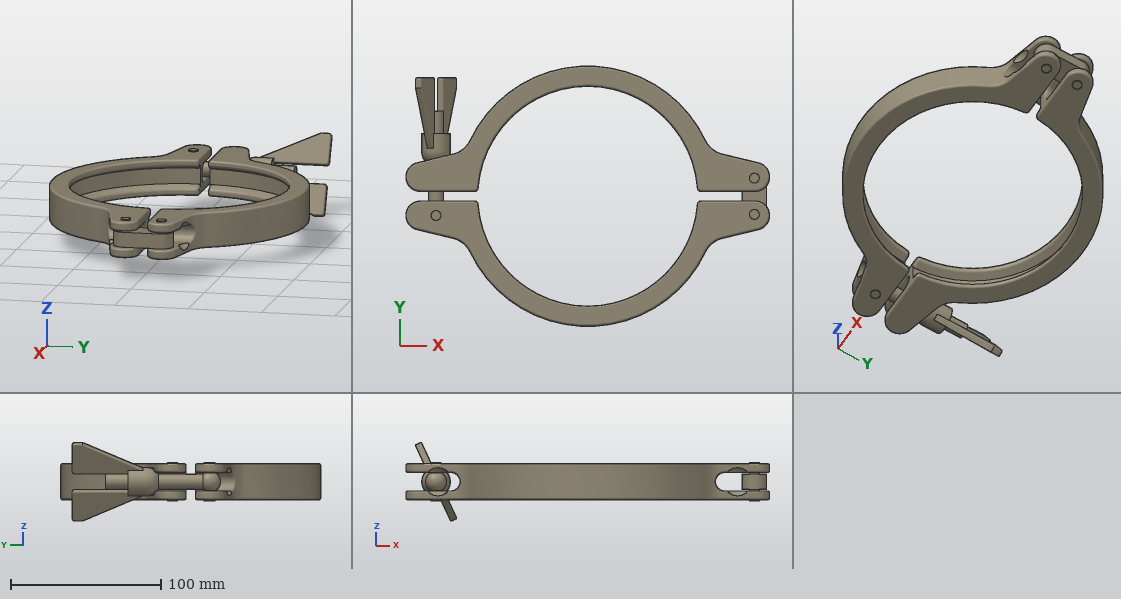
import cadquery as cq
import math


height = 24.2
outer_radius = 86.6
bore_radius = 73.0
split_gap = 6.3
edge_round = 1.5
bore_corner_round = 2.5

groove_depth = 6.3
groove_mouth = 15.5
groove_floor = 10.6
groove_lip_round = 2.0
selection_margin = 0.2

ear_tip_x = 121.0
ear_radius = 9.7
ear_slope = 13.6
ear_blend_radius = 17.0
slot_width = 12.0
slot_end_x = 85.0
slot_end_radius = slot_width / 2
slot_round = 1.5

pin_radius = 3.27
pin_length = 25.7
hinge_x = 110.8
hinge_y = 12.0
link_radius = 8.2
link_thickness = 10.2
bolt_x = -101.0
bolt_pin_y = 12.8
bolt_radius = 5.0
bolt_end_y = 56.6
bolt_ball_radius = 7.0
bolt_ball_thickness = 11.5

nut_radius = 9.55
nut_dome_y = 29.5
nut_end_y = 41.6
seat_radius = 11.0
seat_y = 31.0
wing_tilt = 25.0
wing_thickness = 4.5
wing_inner = 6.5
wing_outer = 28.0
wing_end_y = 79.0
wing_tip_length = 7.0
wing_root_y = 30.0
wing_root_radius = nut_radius * 0.9
wing_corner_round = 2.0
wing_edge_round = 0.7

ear_x = ear_tip_x - ear_radius
ear_y = split_gap / 2 + ear_radius


def ear_outline(side):
    """Ear plate on the +X (side = 1) or -X (side = -1) end of the +Y half ring."""
    slope = math.radians(ear_slope)
    tangent_x = ear_x + ear_radius * math.sin(slope)
    tangent_y = ear_y + ear_radius * math.cos(slope)
    mid_angle = -slope / 2
    root_x = bore_radius
    root_y = tangent_y + (tangent_x - root_x) * math.tan(slope)
    return (
        cq.Workplane("XY", origin=(0, 0, -height / 2))
        .moveTo(side * root_x, split_gap / 2)
        .lineTo(side * ear_x, split_gap / 2)
        .threePointArc(
            (side * (ear_x + ear_radius * math.cos(mid_angle)), ear_y + ear_radius * math.sin(mid_angle)),
            (side * tangent_x, tangent_y),
        )
        .lineTo(side * root_x, root_y)
        .close()
        .extrude(height)
    )


def half_ring_blank():
    """Solid +Y half ring with both ears blended in and the bore cut."""
    half_space = cq.Workplane("XY").box(
        3 * ear_tip_x, 2 * ear_tip_x, 2 * height, centered=(True, False, True)
    ).translate((0, split_gap / 2, 0))
    blank = cq.Workplane("XY").circle(outer_radius).extrude(height / 2, both=True).intersect(half_space)
    for side in (1, -1):
        blank = blank.union(ear_outline(side))
    blend_corners = cq.selectors.BoxSelector(
        (-outer_radius, 2 * ear_radius + split_gap, -height), (outer_radius, outer_radius * 0.6, height)
    )
    blank = blank.edges("|Z").edges(blend_corners).fillet(ear_blend_radius)
    bore = cq.Workplane("XY").circle(bore_radius).extrude(height, both=True)
    return blank.cut(bore)


def flange_groove():
    """Ring-shaped cutter with a trapezoid section, wide at the bore."""
    inside = bore_radius - groove_depth
    mouth_slope = (groove_mouth - groove_floor) / groove_depth
    inside_half = (groove_mouth + mouth_slope * groove_depth) / 2
    floor_radius = bore_radius + groove_depth
    return (
        cq.Workplane("XZ")
        .polyline([
            (inside, -inside_half),
            (floor_radius, -groove_floor / 2),
            (floor_radius, groove_floor / 2),
            (inside, inside_half),
        ])
        .close()
        .revolve(360, (0, 0, 0), (0, 1, 0))
    )


def ear_slot(side):
    """Slot through an ear along Y, with a round inner end."""
    length = 2 * (ear_tip_x - slot_end_x)
    straight = cq.Workplane("XY").box(length, 2 * ear_tip_x, slot_width)
    end_x = slot_end_x + slot_end_radius
    straight = straight.translate((end_x + length / 2, 0, 0))
    round_end = (
        cq.Workplane("XZ").center(end_x, 0).circle(slot_end_radius).extrude(ear_tip_x, both=True)
    )
    slot = straight.union(round_end)
    return slot if side > 0 else slot.mirror("YZ")


def half_ring():
    """Finished +Y half ring."""
    body = half_ring_blank()
    bore_corners = cq.selectors.BoxSelector(
        (-bore_radius, 0, -height), (bore_radius, 2 * split_gap, height)
    )
    body = body.edges("|Z").edges(bore_corners).fillet(bore_corner_round)
    body = body.faces("<Z or >Z").edges().fillet(edge_round)

    for side in (1, -1):
        body = body.cut(ear_slot(side))
    slot_reach = slot_end_radius + slot_round
    for side in (1, -1):
        slot_edges = cq.selectors.BoxSelector(
            (side * (slot_end_x - slot_round), 0, -slot_reach),
            (side * (ear_tip_x + slot_round), outer_radius, slot_reach),
        )
        body = body.edges(slot_edges).edges("not |Y").fillet(slot_round)

    body = body.cut(flange_groove())
    for lip_z in (groove_mouth / 2, -groove_mouth / 2):
        lip_zone = cq.selectors.BoxSelector(
            (-bore_radius, 0, lip_z - selection_margin), (bore_radius, bore_radius, lip_z + selection_margin)
        )
        body = body.edges(lip_zone).fillet(groove_lip_round)

    for side in (1, -1):
        seat = cq.Workplane("XY").sphere(seat_radius).translate((-side * bolt_x, seat_y, 0))
        body = body.cut(seat)
    return body


def pin(x, y):
    """Pin along Z, standing slightly proud of the ears."""
    return cq.Workplane("XY").center(x, y).circle(pin_radius).extrude(pin_length / 2, both=True)


def hinge_link():
    """Round-ended link on the two hinge pins."""
    return (
        cq.Workplane("XY")
        .center(hinge_x, 0)
        .slot2D(2 * (hinge_y + link_radius), 2 * link_radius, 90)
        .extrude(link_thickness / 2, both=True)
    )


def swing_bolt():
    """Bolt along +Y with a flattened ball on the closing pin."""
    ball = cq.Workplane("XY").sphere(bolt_ball_radius)
    ball = ball.intersect(cq.Workplane("XY").box(ear_tip_x, ear_tip_x, bolt_ball_thickness))
    shank = cq.Workplane("XZ").circle(bolt_radius).extrude(-(bolt_end_y + bolt_pin_y))
    return ball.union(shank).translate((bolt_x, -bolt_pin_y, 0))


def wing():
    """Upright wing in the YZ plane, centred on the bolt axis."""
    blade = (
        cq.Workplane("YZ", origin=(-wing_thickness / 2, 0, 0))
        .polyline([
            (wing_root_y, wing_inner),
            (wing_end_y, wing_inner),
            (wing_end_y, wing_outer),
            (wing_end_y - wing_tip_length, wing_outer),
            (wing_root_y, wing_root_radius),
        ])
        .close()
        .extrude(wing_thickness)
    )
    blade = blade.edges("|X and >Y").fillet(wing_corner_round)
    return blade.faces("<X or >X").edges().fillet(wing_edge_round)


def wing_nut():
    """Nut barrel with a domed seat end and two tilted wings."""
    barrel = cq.Workplane("XZ", origin=(0, nut_dome_y, 0)).circle(nut_radius).extrude(nut_dome_y - nut_end_y)
    nut = barrel.union(cq.Workplane("XY").sphere(nut_radius).translate((0, nut_dome_y, 0)))
    for turn in (0, 180):
        nut = nut.union(wing().rotate((0, 0, 0), (0, 1, 0), turn - wing_tilt))
    return nut.translate((bolt_x, 0, 0))


upper_half = half_ring()
result = upper_half.union(upper_half.mirror("XZ"))
for x, y in ((hinge_x, hinge_y), (hinge_x, -hinge_y), (bolt_x, -bolt_pin_y)):
    result = result.union(pin(x, y))
result = result.union(hinge_link()).union(swing_bolt()).union(wing_nut())